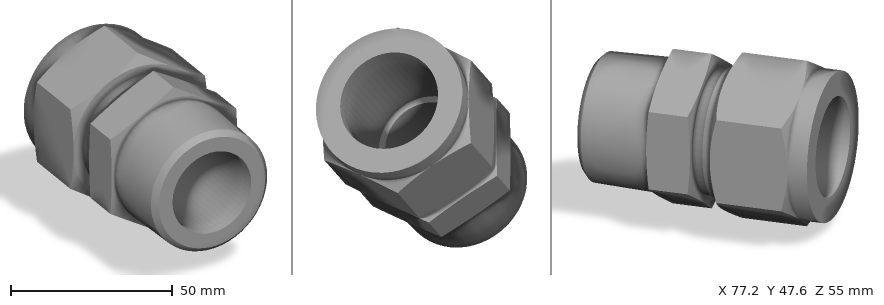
import cadquery as cq
import math

total_length = 77.2
collar_end = 6.4
nut_end = 31.9
neck_step = 35.5
body_hex_start = 39.0
body_hex_end = 53.35
taper_start = 54.3
thread_chamfer = 1.8

nut_flats = 47.6
body_flats = 44.5
neck_radius = 20.6
groove_radius = 19.85
thread_large_radius = 21.15
thread_small_radius = 20.5

tube_radius = 15.9
tube_depth = body_hex_start
bore_radius = 13.9

nut_corner_angle = math.radians(30)
body_corner_angle = math.radians(13)


def hexagon(start, end, flats, corner_angle):
    """Hexagonal prism along X, corners up and down, both ends trimmed by cones."""
    length = end - start
    corner_radius = flats / math.sqrt(3)
    prism = (
        cq.Workplane("YZ")
        .polygon(6, 2 * corner_radius)
        .extrude(length)
        .rotate((0, 0, 0), (1, 0, 0), 90)
    )
    flat_radius = flats / 2
    rise = corner_radius - flat_radius
    run = rise * math.tan(corner_angle)
    envelope = (
        cq.Workplane("XY")
        .polyline([
            (0, 0),
            (0, flat_radius),
            (run, corner_radius),
            (length - run, corner_radius),
            (length, flat_radius),
            (length, 0),
        ])
        .close()
        .revolve(360, (0, 0, 0), (1, 0, 0))
    )
    return prism.intersect(envelope).translate((start, 0, 0))


def cylinder(start, end, radius):
    return cq.Workplane("YZ", origin=(start, 0, 0)).circle(radius).extrude(end - start)


def thread_end():
    """Tapered pipe end with a short straight run-out and a chamfered tip."""
    chamfer_start = total_length - thread_chamfer
    return (
        cq.Workplane("XY")
        .polyline([
            (body_hex_end, 0),
            (body_hex_end, thread_large_radius),
            (taper_start, thread_large_radius),
            (chamfer_start, thread_small_radius),
            (total_length, thread_small_radius - thread_chamfer),
            (total_length, 0),
        ])
        .close()
        .revolve(360, (0, 0, 0), (1, 0, 0))
    )


collar = cylinder(0, collar_end, nut_flats / 2)
nut = hexagon(collar_end, nut_end, nut_flats, nut_corner_angle)
neck = cylinder(nut_end, neck_step, neck_radius)
groove = cylinder(neck_step, body_hex_start, groove_radius)
body_hex = hexagon(body_hex_start, body_hex_end, body_flats, body_corner_angle)

solid = collar.union(nut).union(neck).union(groove).union(body_hex).union(thread_end())

tube_socket = cylinder(0, tube_depth, tube_radius)
through_bore = cylinder(0, total_length, bore_radius)

result = solid.cut(tube_socket).cut(through_bore)